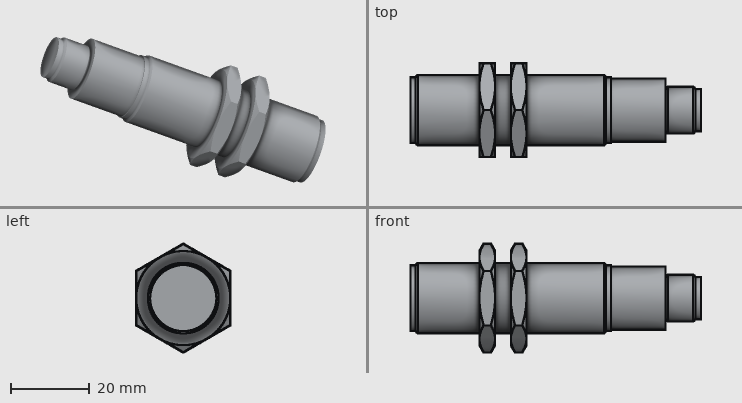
import cadquery as cq
import math

TOTAL_LENGTH = 74.0
BARREL_START = 1.3
BARREL_END = 49.8
COLLAR_END = 51.1
SLEEVE_END = 65.0
CONNECTOR_SHOULDER = 72.6

BARREL_RADIUS = 9.0
COLLAR_RADIUS = 8.43
SLEEVE_RADIUS = 8.1
CONNECTOR_RADIUS = 6.0
CONNECTOR_TIP_RADIUS = 5.4

BARREL_CHAMFER = BARREL_RADIUS - COLLAR_RADIUS
CONNECTOR_CHAMFER = CONNECTOR_RADIUS - CONNECTOR_TIP_RADIUS

NUT_ACROSS_FLATS = 24.0
NUT_FACE_RADIUS = NUT_ACROSS_FLATS / 2
NUT_CORNER_RADIUS = NUT_FACE_RADIUS / math.cos(math.radians(30))
NUT_THICKNESS = 4.0
NUT_CHAMFER_ANGLE = 30.0
NUT_CHAMFER_DEPTH = (NUT_CORNER_RADIUS - NUT_FACE_RADIUS) * math.tan(math.radians(NUT_CHAMFER_ANGLE))
NUT_GAP = 4.0
FIRST_NUT_START = 17.55
SECOND_NUT_START = FIRST_NUT_START + NUT_THICKNESS + NUT_GAP


def revolve_profile(points):
    """Revolve an (X, radius) outline about the X axis; its ends lie on the axis."""
    return cq.Workplane("XZ").polyline(points).close().revolve(360, (0, 0, 0), (1, 0, 0))


def make_housing():
    """Stepped round sensor body: face cap, barrel, collar, sleeve and connector."""
    return revolve_profile([
        (0, 0),
        (0, COLLAR_RADIUS),
        (BARREL_START, COLLAR_RADIUS),
        (BARREL_START + BARREL_CHAMFER, BARREL_RADIUS),
        (BARREL_END - BARREL_CHAMFER, BARREL_RADIUS),
        (BARREL_END, COLLAR_RADIUS),
        (COLLAR_END, COLLAR_RADIUS),
        (COLLAR_END, SLEEVE_RADIUS),
        (SLEEVE_END, SLEEVE_RADIUS),
        (SLEEVE_END, CONNECTOR_TIP_RADIUS),
        (SLEEVE_END + CONNECTOR_CHAMFER, CONNECTOR_RADIUS),
        (CONNECTOR_SHOULDER - CONNECTOR_CHAMFER, CONNECTOR_RADIUS),
        (CONNECTOR_SHOULDER, CONNECTOR_TIP_RADIUS),
        (TOTAL_LENGTH, CONNECTOR_TIP_RADIUS),
        (TOTAL_LENGTH, 0),
    ])


def make_nut(start):
    """Hexagonal nut with corners along Z and conical chamfers on both faces."""
    end = start + NUT_THICKNESS
    hexagon = (
        cq.Workplane("YZ", origin=(start, 0, 0))
        .transformed(rotate=(0, 0, 90))
        .polygon(6, 2 * NUT_CORNER_RADIUS)
        .extrude(NUT_THICKNESS)
    )
    chamfer_envelope = revolve_profile([
        (start, 0),
        (start, NUT_FACE_RADIUS),
        (start + NUT_CHAMFER_DEPTH, NUT_CORNER_RADIUS),
        (end - NUT_CHAMFER_DEPTH, NUT_CORNER_RADIUS),
        (end, NUT_FACE_RADIUS),
        (end, 0),
    ])
    return hexagon.intersect(chamfer_envelope)


result = make_housing()
for nut_start in (FIRST_NUT_START, SECOND_NUT_START):
    result = result.union(make_nut(nut_start))